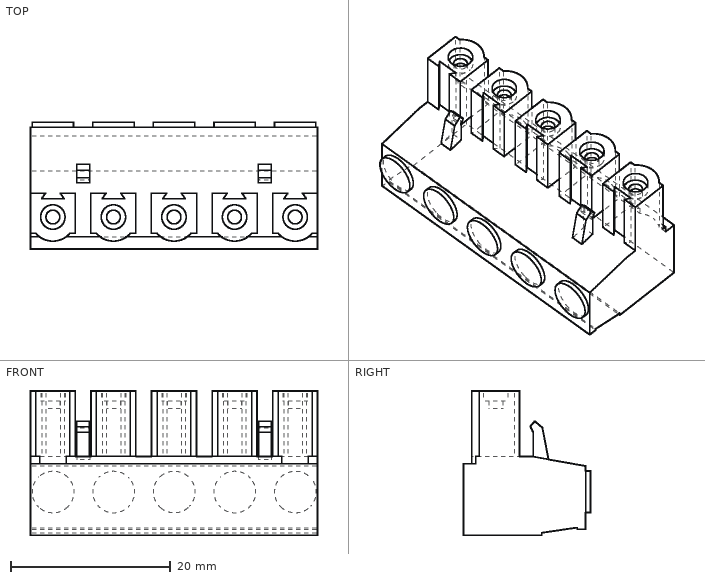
import cadquery as cq

length = 36.1
overall_depth = 15.95
overall_height = 18.15

body_depth = 15.35
ledge_height = 9.03
ledge_depth = 1.55
deck_height = 9.93
deck_depth = 8.6
back_top = 8.75
back_bottom = 0.75
lip_depth = 14.25
lip_recess = 0.97
relief_depth = 9.85
relief_step = 0.32

tower_count = 5
tower_width = 5.67
tower_pitch = (length - tower_width) / (tower_count - 1)
tower_back = 7.05
tower_shoulder = 2.0
tower_front = 1.0
round_half_width = 2.13

groove_depth = 0.7
groove_mouth_width = 1.85
groove_floor_width = 2.8

hole_y = 4.05
counterbore_diameter = 3.07
counterbore_depth = 1.25
hole_diameter = 1.75
hole_depth = 2.15

boss_diameter = 5.25
boss_z = 5.5

latch_width = 1.62
latch_root_back = 10.7
latch_root_top = 9.57
latch_neck_front = 8.75
latch_shoulder = (9.93, 13.55)
latch_tip = (8.95, 14.37)
latch_nose = (8.38, 13.7)
latch_nose_base = 12.95
latch_bottom = 9.03

tower_centers = [tower_width / 2 + i * tower_pitch for i in range(tower_count)]
end_centers = (tower_centers[0], tower_centers[-1])
latch_centers = (tower_centers[0] + tower_pitch / 2, tower_centers[-1] - tower_pitch / 2)


def extrude_profile(points, x_start, width):
    """Extrude a closed (y, z) outline along +X."""
    return cq.Workplane("YZ", origin=(x_start, 0, 0)).polyline(points).close().extrude(width)


def make_body():
    outline = [
        (0, 0),
        (0, ledge_height),
        (ledge_depth, ledge_height),
        (ledge_depth, deck_height),
        (deck_depth, deck_height),
        (body_depth, back_top),
        (body_depth, back_bottom),
        (lip_depth, back_bottom),
        (lip_depth, lip_recess),
        (relief_depth, relief_step),
        (relief_depth, 0),
    ]
    return extrude_profile(outline, 0, length)


def tower_outline(x, z):
    """Tower plan: square back with a dovetail groove, rounded front."""
    left = x - tower_width / 2
    right = x + tower_width / 2
    groove_y = tower_back - groove_depth
    return (
        cq.Workplane("XY", origin=(0, 0, z))
        .moveTo(left, tower_shoulder)
        .lineTo(x - round_half_width, tower_shoulder)
        .threePointArc((x, tower_front), (x + round_half_width, tower_shoulder))
        .lineTo(right, tower_shoulder)
        .lineTo(right, tower_back)
        .lineTo(x + groove_mouth_width / 2, tower_back)
        .lineTo(x + groove_floor_width / 2, groove_y)
        .lineTo(x - groove_floor_width / 2, groove_y)
        .lineTo(x - groove_mouth_width / 2, tower_back)
        .lineTo(left, tower_back)
        .close()
    )


def make_tower(x):
    """End towers reach down to the ledge; the others overhang it from deck level."""
    base = ledge_height if x in end_centers else deck_height
    return tower_outline(x, base).extrude(overall_height - base)


def make_screw_hole(x):
    top = cq.Workplane("XY", origin=(x, hole_y, overall_height))
    counterbore = top.circle(counterbore_diameter / 2).extrude(-counterbore_depth)
    return counterbore.union(top.circle(hole_diameter / 2).extrude(-hole_depth))


def make_boss(x):
    face = cq.Workplane("XZ", origin=(x, overall_depth, boss_z))
    return face.circle(boss_diameter / 2).extrude(overall_depth - deck_depth)


def make_latch(x):
    outline = [
        (latch_root_back, latch_bottom),
        (latch_root_back, latch_root_top),
        latch_shoulder,
        latch_tip,
        latch_nose,
        (latch_neck_front, latch_nose_base),
        (latch_neck_front, latch_bottom),
    ]
    return extrude_profile(outline, x - latch_width / 2, latch_width)


result = make_body()
for center in tower_centers:
    result = result.union(make_tower(center)).union(make_boss(center))
for center in latch_centers:
    result = result.union(make_latch(center))
for center in tower_centers:
    result = result.cut(make_screw_hole(center))